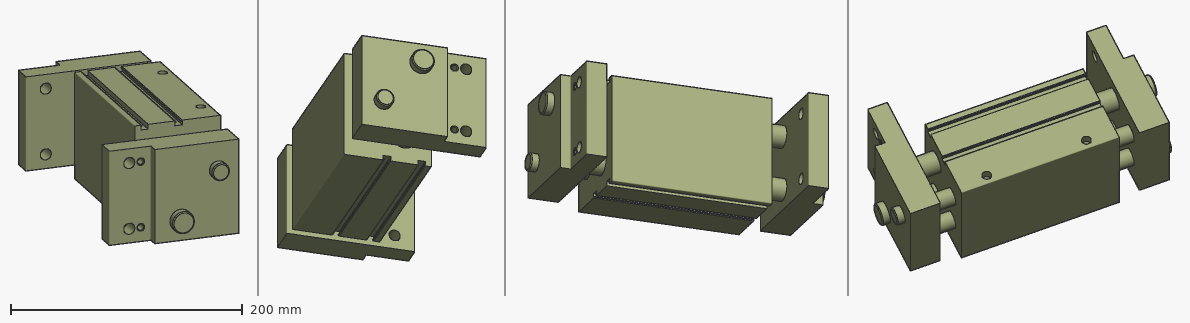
import cadquery as cq

OVERALL_LENGTH = 258.0
OVERALL_DEPTH = 117.0

HOUSING_LENGTH = 148.0
HOUSING_DEPTH = 79.2
HOUSING_HEIGHT = 98.0
HOUSING_EDGE_RADIUS = 0.9
HOUSING_BACK = HOUSING_DEPTH / 2
HOUSING_FRONT = -HOUSING_DEPTH / 2
HOUSING_TOP = HOUSING_HEIGHT / 2

SLOT_DEPTH = 4.5
SLOT_WIDTH = 7.0
LIP_REACH = 1.0
LIP_HEIGHT = 1.3
MOUTH_CHAMFER = 0.8
REAR_SLOT_Y = HOUSING_BACK - 39.0
FRONT_SLOT_WIDTH = 6.5
FRONT_SLOT_BACK_Y = HOUSING_BACK - 67.0

PORT_SPACING = 93.7
PORT_Y = HOUSING_BACK - 8.5
PORT_DIAMETER = 8.3
PORT_FLOOR_DIAMETER = 3.5
PORT_BORE_DEPTH = 7.7
PORT_TAPER_DEPTH = 1.5

JAW_INNER_X = 93.5
JAW_STEP_X = 112.0
JAW_OUTER_X = 121.5
JAW_HEIGHT = 86.2
JAW_BACK = HOUSING_BACK - 1.3
JAW_STEP_Y = HOUSING_FRONT + 0.5
JAW_FRONT = HOUSING_BACK - OVERALL_DEPTH
JAW_EDGE_RADIUS = 0.8
JAW_STEP_RADIUS = 0.5

JAW_HOLE_SPACING = 60.0
MOUNT_HOLE_DIAMETER = 10.0
MOUNT_HOLE_Y = HOUSING_BACK - 98.5
TAPPED_HOLE_DIAMETER = 5.5
TAPPED_HOLE_CHAMFER = 0.8
TAPPED_HOLE_DEPTH = 10.3
TAPPED_HOLE_TIP = 1.5
TAPPED_HOLE_Y = HOUSING_BACK - 88.0

PISTON_ROD = (20.0, HOUSING_BACK - 54.7, 24.5)
GUIDE_ROD = (16.0, HOUSING_BACK - 20.5, -17.5)
RODS = (PISTON_ROD, GUIDE_ROD)
ROD_END_CHAMFER = 1.0


def turn_half_about_y(shape):
    return shape.rotate((0, 0, 0), (0, 1, 0), 180)


def rod(diameter, y, z):
    """Rod of the left jaw, from its outer end to the inner face of the right jaw plate."""
    outer_end = -OVERALL_LENGTH / 2
    return (
        cq.Workplane("YZ", origin=(outer_end, y, z))
        .circle(diameter / 2)
        .extrude(JAW_INNER_X - outer_end)
        .faces("<X")
        .chamfer(ROD_END_CHAMFER)
    )


def slot_cutter(outline):
    """Cutter for a slot in the top face, from its outline in Y and Z."""
    return (
        cq.Workplane("YZ", origin=(-HOUSING_LENGTH / 2, 0, 0))
        .polyline(outline)
        .close()
        .extrude(HOUSING_LENGTH)
    )


def lip_outline(wall_y, toward_mouth):
    """Points from the mouth corner, round the overhanging lip, down to the slot floor."""
    tip_y = wall_y + toward_mouth * LIP_REACH
    return [
        (tip_y - toward_mouth * MOUTH_CHAMFER, HOUSING_TOP),
        (tip_y, HOUSING_TOP - MOUTH_CHAMFER),
        (tip_y, HOUSING_TOP - LIP_HEIGHT),
        (wall_y, HOUSING_TOP - LIP_HEIGHT),
        (wall_y, HOUSING_TOP - SLOT_DEPTH),
    ]


def rear_slot():
    back_side = lip_outline(REAR_SLOT_Y + SLOT_WIDTH / 2, -1)
    front_side = lip_outline(REAR_SLOT_Y - SLOT_WIDTH / 2, 1)
    return slot_cutter(back_side + front_side[::-1])


def front_slot():
    back_side = [
        (FRONT_SLOT_BACK_Y, HOUSING_TOP),
        (FRONT_SLOT_BACK_Y, HOUSING_TOP - SLOT_DEPTH),
    ]
    front_side = lip_outline(FRONT_SLOT_BACK_Y - FRONT_SLOT_WIDTH, 1)
    return slot_cutter(back_side + front_side[::-1])


def port(x):
    """Cutter for one air port."""
    floor_depth = PORT_BORE_DEPTH + PORT_TAPER_DEPTH
    half_section = [
        (0, 0),
        (PORT_DIAMETER / 2, 0),
        (PORT_DIAMETER / 2, -PORT_BORE_DEPTH),
        (PORT_FLOOR_DIAMETER / 2, -floor_depth),
        (0, -floor_depth),
    ]
    return (
        cq.Workplane("XZ", origin=(x, PORT_Y, HOUSING_TOP))
        .polyline(half_section)
        .close()
        .revolve(360, (0, 0), (0, 1))
    )


def make_housing():
    body = (
        cq.Workplane("XY")
        .box(HOUSING_LENGTH, HOUSING_DEPTH, HOUSING_HEIGHT)
        .edges("|X")
        .fillet(HOUSING_EDGE_RADIUS)
    )
    for slot in (rear_slot(), front_slot()):
        body = body.cut(slot).cut(slot.mirror("XY"))
    for x in (-PORT_SPACING / 2, PORT_SPACING / 2):
        body = body.cut(port(x))
    for size_and_place in RODS:
        left_rod = rod(*size_and_place)
        body = body.cut(left_rod).cut(turn_half_about_y(left_rod))
    return body


def tapped_hole(z):
    """Cutter for a blind hole with a chamfered mouth and a drill point."""
    radius = TAPPED_HOLE_DIAMETER / 2
    half_section = [
        (0, 0),
        (0, radius + TAPPED_HOLE_CHAMFER),
        (TAPPED_HOLE_CHAMFER, radius),
        (TAPPED_HOLE_DEPTH, radius),
        (TAPPED_HOLE_DEPTH + TAPPED_HOLE_TIP, 0),
    ]
    return (
        cq.Workplane("XY", origin=(-JAW_STEP_X, TAPPED_HOLE_Y, z))
        .polyline(half_section)
        .close()
        .revolve(360, (0, 0), (1, 0))
    )


def jaw_plate():
    """Stepped plate of the left jaw."""
    outline = [
        (-JAW_INNER_X, JAW_BACK),
        (-JAW_OUTER_X, JAW_BACK),
        (-JAW_OUTER_X, JAW_STEP_Y),
        (-JAW_STEP_X, JAW_STEP_Y),
        (-JAW_STEP_X, JAW_FRONT),
        (-JAW_INNER_X, JAW_FRONT),
    ]
    plate = (
        cq.Workplane("XY", origin=(0, 0, -JAW_HEIGHT / 2))
        .polyline(outline)
        .close()
        .extrude(JAW_HEIGHT)
    )
    plate = plate.edges("|Z and (>X or <Y)").fillet(JAW_EDGE_RADIUS)
    step_corner = cq.NearestToPointSelector((-JAW_STEP_X, JAW_STEP_Y, 0))
    plate = plate.edges(step_corner).fillet(JAW_STEP_RADIUS)
    for z in (-JAW_HOLE_SPACING / 2, JAW_HOLE_SPACING / 2):
        mount_hole = (
            cq.Workplane("YZ", origin=(-JAW_STEP_X, MOUNT_HOLE_Y, z))
            .circle(MOUNT_HOLE_DIAMETER / 2)
            .extrude(JAW_STEP_X - JAW_INNER_X)
        )
        plate = plate.cut(mount_hole).cut(tapped_hole(z))
    return plate


def make_jaw():
    """Left jaw: the plate with its piston rod and its guide rod."""
    jaw = jaw_plate()
    for size_and_place in RODS:
        jaw = jaw.union(rod(*size_and_place))
    return jaw


housing = make_housing()
left_jaw = make_jaw()
jaws = [left_jaw, turn_half_about_y(left_jaw)]

result = cq.Compound.makeCompound([housing.val(), *(jaw.val() for jaw in jaws)])